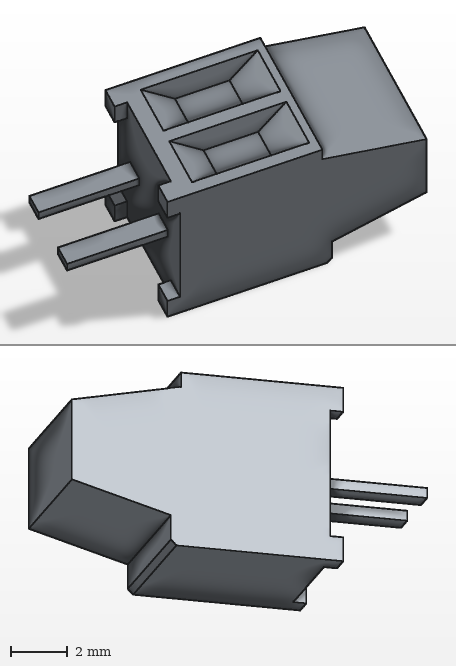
import cadquery as cq

width = 5.53
height = 6.5
overall_length = 13.4
pin_length = 3.89
housing_length = overall_length - pin_length
upper_block_length = 5.5
lower_block_length = 5.87
upper_step_drop = 0.54
lower_step_height = 1.11
nose_top = 5.1
nose_bottom = 2.1
bottom_chamfer = 0.2

foot_width = 0.82
foot_height = 0.9
foot_length = 0.48

pole_pitch = 2.55
pole_positions = [-pole_pitch / 2, pole_pitch / 2]

pocket_width = 2.02
pocket_length = 4.52
pocket_start = 0.67
pocket_depth = 0.8
pocket_side_inset = 0.27
pocket_end_inset = 1.2
floor_width = pocket_width - 2 * pocket_side_inset
floor_length = pocket_length - 2 * pocket_end_inset

pin_width = 0.82
pin_thickness = 0.38


def make_block():
    """Stepped side outline with a tapered nose, extruded across the width."""
    outline = [
        (0, 0),
        (lower_block_length - bottom_chamfer, 0),
        (lower_block_length, bottom_chamfer),
        (lower_block_length, lower_step_height),
        (housing_length, nose_bottom),
        (housing_length, nose_top),
        (upper_block_length, height - upper_step_drop),
        (upper_block_length, height),
        (0, height),
    ]
    return cq.Workplane("YZ").polyline(outline).close().extrude(width / 2, both=True)


def make_foot(side, bottom):
    """Corner standoff; side is -1 or 1 along X, bottom is its lower Z."""
    center_x = side * (width - foot_width) / 2
    return (
        cq.Workplane("XY")
        .box(foot_width, foot_length, foot_height, centered=(True, False, False))
        .translate((center_x, -foot_length, bottom))
    )


def make_pocket(center_x):
    """Cutter that narrows from the top surface to a smaller flat floor."""
    center_y = pocket_start + pocket_length / 2
    return (
        cq.Workplane("XY", origin=(center_x, center_y, height))
        .rect(pocket_width, pocket_length)
        .workplane(offset=-pocket_depth)
        .rect(floor_width, floor_length)
        .loft(ruled=True)
    )


def make_housing():
    body = make_block()
    for side in (-1, 1):
        for bottom in (0, height - foot_height):
            body = body.union(make_foot(side, bottom))
    for center_x in pole_positions:
        body = body.cut(make_pocket(center_x))
    return body


def make_pin(center_x):
    """Flat pin standing on the pin-side face at mid height."""
    return (
        cq.Workplane("XY")
        .box(pin_width, pin_length, pin_thickness)
        .translate((center_x, -pin_length / 2, height / 2))
    )


housing = make_housing()
pins = [make_pin(center_x).val() for center_x in pole_positions]

result = cq.Compound.makeCompound([housing.val(), *pins])